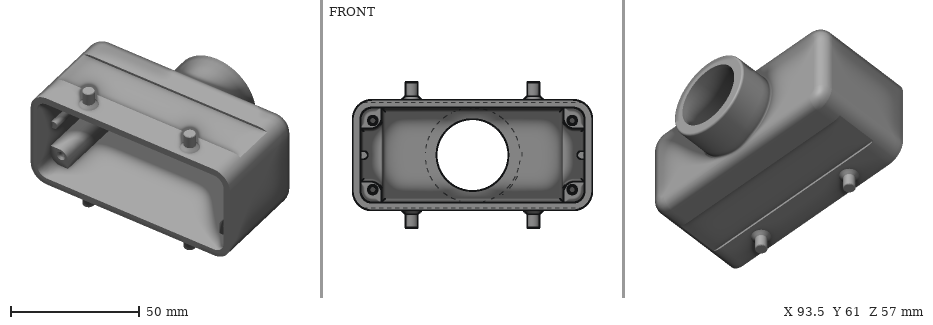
import cadquery as cq

length = 93.5
height = 43.2
body_depth = 45.1
total_depth = 61.0
corner_radius = 7.6
back_edge_radius = 5.0

wall = 3.0
draft = 1.0
floor_y = body_depth - wall
floor_radius = 1.1
shelf_y = 37.4
shelf_radius = 0.75
bay_half_length = 35.7
end_bay_half_height = 10.6
post_radius = 3.9
inner_length = length - 2 * wall
inner_height = height - 2 * wall

post_front_y = 9.35
screw_x = 38.9
screw_z = 13.5
screw_diameter = 2.6
screw_mouth_diameter = 3.8
screw_mouth_angle = 45.0
screw_depth = 18.7

rib_diameter = 3.2
rib_reach = 2.9
rib_front_y = 9.8

collar_diameter = 37.0
bore_diameter = 28.0
collar_rim_radius = 0.9
collar_root_radius = 0.75

pin_span = 57.0
pin_diameter = 5.0
pin_x = 23.75
pin_y = 6.3
pin_root_diameter = 7.95
pin_root_height = 1.4
pin_tip_chamfer = 0.3

recess_start_y = 12.9
recess_end_y = 31.7
recess_depth = 1.0

selection_margin = 0.1


def plane_at(y):
    """Workplane at depth y that extrudes towards +Y (its local y axis is -Z)."""
    return cq.Workplane(cq.Plane(origin=(0, y, 0), xDir=(1, 0, 0), normal=(0, 1, 0)))


def rounded_rectangle(size_x, size_z, radius):
    return cq.Sketch().rect(size_x, size_z).vertices().fillet(radius)


def inside_box(half_x, y_min, y_max, half_z):
    """Selector for edges that lie wholly inside a box centred on the Y axis."""
    return cq.selectors.BoxSelector(
        (-half_x, y_min, -half_z), (half_x, y_max, half_z), boundingbox=True
    )


def make_outer_solid():
    outline = rounded_rectangle(length, height, corner_radius)
    body = plane_at(0).placeSketch(outline).extrude(body_depth)
    body = body.faces(">Y").edges().fillet(back_edge_radius)

    collar = plane_at(floor_y).circle(collar_diameter / 2).extrude(total_depth - floor_y)
    collar = collar.faces(">Y").edges().fillet(collar_rim_radius)

    reach = collar_diameter / 2 + selection_margin
    root_edges = inside_box(
        reach, body_depth - back_edge_radius / 2, body_depth + collar_root_radius, reach
    )
    return body.union(collar).edges(root_edges).fillet(collar_root_radius)


def make_cavity():
    """Drafted hollow; its concave corners leave the four screw posts standing."""
    outline = rounded_rectangle(inner_length, inner_height, corner_radius - wall)
    mouth = plane_at(0).placeSketch(outline).extrude(post_front_y, taper=draft)

    bay = plane_at(0).rect(2 * bay_half_length, inner_height).extrude(floor_y, taper=draft)

    post_corners = cq.selectors.BoxSelector(
        (-bay_half_length - selection_margin, -end_bay_half_height - selection_margin, -selection_margin),
        (bay_half_length + selection_margin, end_bay_half_height + selection_margin, selection_margin),
    )
    cross = (
        cq.Sketch()
        .rect(inner_length, 2 * end_bay_half_height)
        .rect(2 * bay_half_length, inner_height)
        .clean()
        .vertices(post_corners)
        .fillet(post_radius)
    )
    end_bays = plane_at(0).placeSketch(cross).extrude(shelf_y, taper=draft)

    shelf_edges = inside_box(
        length / 2, shelf_y - selection_margin, shelf_y + selection_margin, height / 2
    )
    cavity = bay.union(end_bays).edges(shelf_edges).fillet(shelf_radius)
    cavity = cavity.faces(">Y").edges().fillet(floor_radius)
    return cavity.union(mouth)


def make_ribs():
    """Round-nosed ribs rooted in the end walls and the end bay floors."""
    rib_x = inner_length / 2 - rib_reach + rib_diameter / 2
    root_length = length / 2 - wall / 2 - rib_x
    rib_depth = shelf_y + wall / 2 - rib_front_y
    ribs = cq.Workplane()
    for side in (-1, 1):
        nose = plane_at(rib_front_y).center(side * rib_x, 0).circle(rib_diameter / 2).extrude(rib_depth)
        root = (
            plane_at(rib_front_y)
            .center(side * (rib_x + root_length / 2), 0)
            .rect(root_length, rib_diameter)
            .extrude(rib_depth)
        )
        ribs = ribs.add(nose.union(root))
    return ribs.combine()


def make_screw_holes():
    mouth_chamfer = (screw_mouth_diameter - screw_diameter) / 2
    centres = [(x, z) for x in (-screw_x, screw_x) for z in (-screw_z, screw_z)]
    holes = plane_at(post_front_y).pushPoints(centres).circle(screw_diameter / 2).extrude(screw_depth)
    mouths = (
        plane_at(post_front_y)
        .pushPoints(centres)
        .circle(screw_mouth_diameter / 2)
        .extrude(mouth_chamfer, taper=screw_mouth_angle)
    )
    return holes.union(mouths)


def make_pin():
    """Locking pin along +Z with a flared root, starting inside the wall."""
    radius = pin_diameter / 2
    tip_z = pin_span / 2
    surface_z = height / 2
    base_z = surface_z - wall / 2
    root_radius = pin_root_diameter / 2
    profile = (
        cq.Workplane("XZ")
        .moveTo(0, base_z)
        .lineTo(root_radius, base_z)
        .lineTo(root_radius, surface_z)
        .lineTo(radius, surface_z + pin_root_height)
        .lineTo(radius, tip_z - pin_tip_chamfer)
        .lineTo(radius - pin_tip_chamfer, tip_z)
        .lineTo(0, tip_z)
        .close()
    )
    return profile.revolve(360, (0, 0, 0), (0, 1, 0))


def make_label_recess():
    """Slab that planes a flat into the +Z face, running out through the corners."""
    return cq.Workplane("XY").box(
        length, recess_end_y - recess_start_y, recess_depth, centered=(True, False, False)
    ).translate((0, recess_start_y, height / 2 - recess_depth))


housing = make_outer_solid().cut(make_cavity())
housing = housing.union(make_ribs())
housing = housing.cut(make_screw_holes())

bore = plane_at(0).circle(bore_diameter / 2).extrude(total_depth)
housing = housing.cut(bore)

label_recess = make_label_recess()
housing = housing.cut(label_recess).cut(label_recess.mirror("XY"))

for x in (-pin_x, pin_x):
    pin = make_pin().translate((x, pin_y, 0))
    housing = housing.union(pin).union(pin.mirror("XY"))

result = housing